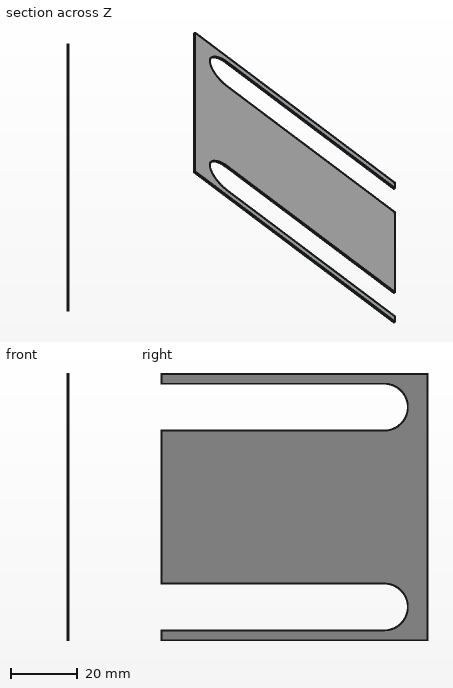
import cadquery as cq

side = 80.0
thickness = 0.5

slot_width = 14.0
slot_edge_distance = 10.0
slot_end_wall = 6.0

slot_radius = slot_width / 2
slot_offset = side / 2 - slot_edge_distance
arc_center_y = side / 2 - slot_end_wall - slot_radius


def open_slot(center_z):
    """Cutter for one slot running from the -Y edge to its round end."""
    return (
        cq.Workplane("YZ")
        .moveTo(-side / 2, center_z - slot_radius)
        .lineTo(arc_center_y, center_z - slot_radius)
        .threePointArc(
            (arc_center_y + slot_radius, center_z),
            (arc_center_y, center_z + slot_radius),
        )
        .lineTo(-side / 2, center_z + slot_radius)
        .close()
        .extrude(thickness, both=True)
    )


result = cq.Workplane("XY").box(thickness, side, side)
for slot_z in (-slot_offset, slot_offset):
    result = result.cut(open_slot(slot_z))